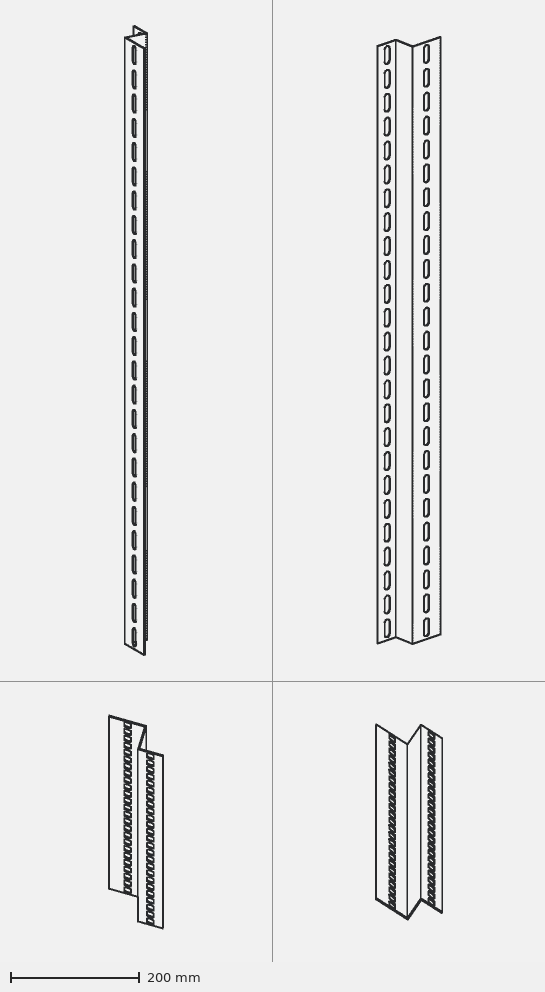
import cadquery as cq

rail_length = 1000.0
rail_depth = 40.0
rear_flange_width = 40.0
front_flange_width = 60.0
sheet_thickness = 2.0

slot_length = 30.0
slot_width = 11.0
slot_pitch = 40.0
slot_count = round(rail_length / slot_pitch)

web_left = rear_flange_width - sheet_thickness
web_right = rear_flange_width
overall_width = web_left + front_flange_width


def z_section_rail():
    """Z profile with sharp bends, standing on the XY plane."""
    outline = [
        (web_left, 0),
        (overall_width, 0),
        (overall_width, sheet_thickness),
        (web_right, sheet_thickness),
        (web_right, rail_depth),
        (0, rail_depth),
        (0, rail_depth - sheet_thickness),
        (web_left, rail_depth - sheet_thickness),
    ]
    return cq.Workplane("XY").polyline(outline).close().extrude(rail_length)


def slot_row(center_x):
    """Cutters for a full-height row of slots, running right through the depth."""
    return (
        cq.Workplane("XZ", origin=(center_x, rail_depth, rail_length / 2))
        .rarray(slot_pitch, slot_pitch, 1, slot_count)
        .slot2D(slot_length, slot_width, angle=90)
        .extrude(rail_depth)
    )


rear_slot_x = rear_flange_width / 2
front_slot_x = web_left + front_flange_width / 2

result = z_section_rail()
for slot_x in (rear_slot_x, front_slot_x):
    result = result.cut(slot_row(slot_x))